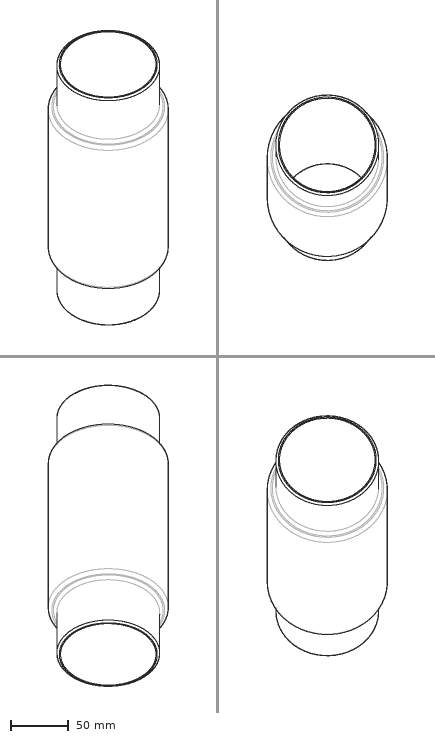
import cadquery as cq

length = 268.0
body_diameter = 104.0
neck_diameter = 89.0
bore_diameter = 82.5

neck_length = 49.8
body_length = length - 2 * neck_length

body_edge_radius = 3.2
neck_root_radius = 3.0
bevel_width = 2.1
bevel_height = 1.3

body_radius = body_diameter / 2
neck_radius = neck_diameter / 2
bore_radius = bore_diameter / 2
land_radius = neck_radius - bevel_width
rim = length / 2
shoulder = body_length / 2


def wall_section():
    """Section through the wall, traced from the bottom rim to the top; local x is radius, local y is Z."""
    return (
        cq.Workplane("XZ")
        .moveTo(bore_radius, -rim)
        .lineTo(land_radius, -rim)
        .lineTo(neck_radius, bevel_height - rim)
        .lineTo(neck_radius, -shoulder - neck_root_radius)
        .radiusArc((neck_radius + neck_root_radius, -shoulder), neck_root_radius)
        .lineTo(body_radius - body_edge_radius, -shoulder)
        .radiusArc((body_radius, body_edge_radius - shoulder), -body_edge_radius)
        .lineTo(body_radius, shoulder - body_edge_radius)
        .radiusArc((body_radius - body_edge_radius, shoulder), -body_edge_radius)
        .lineTo(neck_radius + neck_root_radius, shoulder)
        .radiusArc((neck_radius, shoulder + neck_root_radius), neck_root_radius)
        .lineTo(neck_radius, rim - bevel_height)
        .lineTo(land_radius, rim)
        .lineTo(bore_radius, rim)
        .close()
    )


result = wall_section().revolve(360, (0, 0, 0), (0, 1, 0))